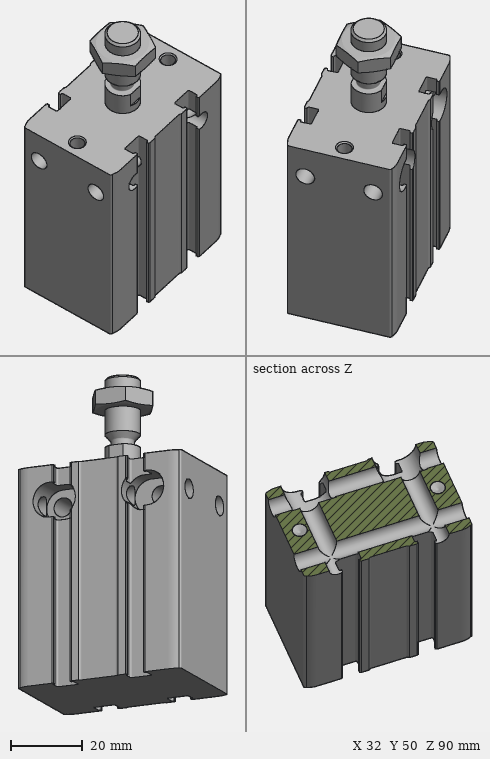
import cadquery as cq
import math

width = 32.0
depth = 50.0
housing_height = 63.0
total_height = 90.0
half_width = width / 2
half_depth = depth / 2
recess_depth = 0.4
recess_half_length = 5.2
recess_fillet_length = 0.5
recess_fillet_rise = 0.2
recess_ramp_length = 0.3
side_round_length = 3.4
side_round_drop = 0.6
corner_size = 0.6

slot_offset = 11.25
slot_opening = 5.0
slot_width = 6.5
slot_depth = 4.1
lip_thickness = 0.9
lip_bevel_width = 0.45
lip_bevel_depth = 0.2
slot_corner_fillet = 0.45

mount_hole_diameter = 5.5
mount_hole_drop = 10.0
x_hole_offset = 15.0
y_hole_offset = 10.0
mount_hole_z = housing_height - mount_hole_drop
pocket_diameter = 10.0
pocket_length = 13.0
pocket_depth = 9.0

top_hole_offset = 20.5
top_hole_diameter = 4.1
top_hole_mouth = 4.95
top_hole_depth = 10.0
drill_point_angle = 118.0

rod_diameter = 10.0
collar_height = 7.0
neck_diameter = 6.7
neck_height = 2.0
neck_fillet = 0.3
cone_height = 1.8
rod_tip_diameter = 8.6
flat_across = 9.0
flat_base = 2.5

nut_across_flats = 16.0
nut_thickness = 5.0
nut_top_gap = 4.1
nut_face_diameter = 14.8
nut_bevel_angle = 15.0
nut_sides = 6
half_side_angle = 180.0 / nut_sides


def make_block():
    """Plain extruded block, built as a quarter and mirrored in X and Y."""
    recess_x = half_width - recess_depth
    fillet_end = (recess_x + recess_fillet_rise, recess_half_length + recess_fillet_length)
    shoulder = (half_width - side_round_drop, half_depth - corner_size)
    round_start = (half_width, half_depth - side_round_length)
    corner_end = (shoulder[0] - corner_size, half_depth)
    arc_mid_drop = corner_size * (1 - math.sqrt(0.5))
    corner_mid = (shoulder[0] - arc_mid_drop, half_depth - arc_mid_drop)
    quarter = (
        cq.Workplane("XY")
        .lineTo(recess_x, 0)
        .lineTo(recess_x, recess_half_length)
        .tangentArcPoint(fillet_end, relative=False)
        .lineTo(half_width, fillet_end[1] + recess_ramp_length)
        .lineTo(*round_start)
        .tangentArcPoint(shoulder, relative=False)
        .threePointArc(corner_mid, corner_end)
        .lineTo(0, half_depth)
        .close()
        .extrude(housing_height)
    )
    half = quarter.union(quarter.mirror("YZ"))
    return half.union(half.mirror("XZ")).clean()


def make_slot(x_side, y_side):
    """Undercut slot with bevelled lips and rounded inner corners, open towards the given X side."""
    half_mouth = slot_opening / 2
    upper = [
        (half_width, half_mouth + lip_bevel_width),
        (half_width - lip_bevel_depth, half_mouth),
        (half_width - lip_thickness, half_mouth),
        (half_width - lip_thickness, slot_width / 2),
        (half_width - slot_depth, slot_width / 2),
    ]
    lower = [(x, -y) for x, y in reversed(upper)]
    section = [(x_side * x, y_side * slot_offset + y) for x, y in upper + lower]
    slot = cq.Workplane("XY").polyline(section).close().extrude(housing_height)
    return slot.faces(">Y or <Y").edges("|Z").fillet(slot_corner_fillet)


def make_x_hole(y_side):
    """Through hole along X with a rounded pocket on the -X side."""
    hole = (
        cq.Workplane("YZ", origin=(-half_width, y_side * x_hole_offset, mount_hole_z))
        .circle(mount_hole_diameter / 2)
        .extrude(width)
    )
    pocket_shift = (pocket_length - pocket_diameter) / 2
    pocket = (
        cq.Workplane("YZ", origin=(-half_width, y_side * (x_hole_offset - pocket_shift), mount_hole_z))
        .slot2D(pocket_length, pocket_diameter)
        .extrude(pocket_depth)
    )
    return hole.union(pocket)


def make_y_hole(x_side):
    """Through hole along Y."""
    return (
        cq.Workplane("XZ", origin=(x_side * y_hole_offset, half_depth, mount_hole_z))
        .circle(mount_hole_diameter / 2)
        .extrude(depth)
    )


def make_top_hole(y_side):
    """Blind drilled hole with a 45 degree mouth and a conical bottom."""
    radius = top_hole_diameter / 2
    mouth_radius = top_hole_mouth / 2
    point_length = radius / math.tan(math.radians(drill_point_angle / 2))
    return (
        cq.Workplane("XZ")
        .lineTo(mouth_radius, 0)
        .lineTo(radius, radius - mouth_radius)
        .lineTo(radius, -top_hole_depth)
        .lineTo(0, -top_hole_depth - point_length)
        .close()
        .revolve(360, (0, 0), (0, 1))
        .translate((0, y_side * top_hole_offset, housing_height))
    )


def make_housing():
    housing = make_block()
    for side in (-1, 1):
        housing = housing.cut(make_slot(-1, side)).cut(make_slot(1, side))
        housing = housing.cut(make_x_hole(side))
        housing = housing.cut(make_y_hole(side))
        housing = housing.cut(make_top_hole(side))
    return housing


def make_rod():
    """Stepped rod standing on the housing, with two wrench flats on its collar."""
    radius = rod_diameter / 2
    neck_radius = neck_diameter / 2
    tip_radius = rod_tip_diameter / 2
    collar_top = housing_height + collar_height
    neck_top = collar_top + neck_height
    rod = (
        cq.Workplane("XZ")
        .moveTo(0, housing_height)
        .lineTo(radius, housing_height)
        .lineTo(radius, collar_top)
        .lineTo(neck_radius, collar_top)
        .lineTo(neck_radius, neck_top)
        .lineTo(radius, neck_top + cone_height)
        .lineTo(radius, total_height - (radius - tip_radius))
        .lineTo(tip_radius, total_height)
        .lineTo(0, total_height)
        .close()
        .revolve(360, (0, 0), (0, 1))
    )
    neck_ends = cq.selectors.BoxSelector(
        (-radius, -radius, collar_top - neck_fillet),
        (radius, radius, neck_top + neck_fillet),
    )
    neck_circles = rod.edges(neck_ends).edges(cq.selectors.RadiusNthSelector(0))
    rod = neck_circles.fillet(neck_fillet)
    for side in (-1, 1):
        cutter = cq.Workplane("XY").box(
            rod_diameter, rod_diameter, collar_height - flat_base, centered=(True, True, False)
        )
        cutter_x = side * (flat_across + rod_diameter) / 2
        rod = rod.cut(cutter.translate((cutter_x, 0, housing_height + flat_base)))
    return rod


def make_nut():
    """Hexagon nut with flats facing X, bevelled corners and a bore that fits the rod."""
    corner_diameter = nut_across_flats / math.cos(math.radians(half_side_angle))
    corner_radius = corner_diameter / 2
    face_radius = nut_face_diameter / 2
    bevel_drop = (corner_radius - face_radius) * math.tan(math.radians(nut_bevel_angle))
    hexagon = (
        cq.Workplane("XY")
        .polygon(nut_sides, corner_diameter)
        .extrude(nut_thickness)
        .rotate((0, 0, 0), (0, 0, 1), half_side_angle)
    )
    bevel_envelope = (
        cq.Workplane("XZ")
        .lineTo(face_radius, 0)
        .lineTo(corner_radius, bevel_drop)
        .lineTo(corner_radius, nut_thickness - bevel_drop)
        .lineTo(face_radius, nut_thickness)
        .lineTo(0, nut_thickness)
        .close()
        .revolve(360, (0, 0), (0, 1))
    )
    bore = cq.Workplane("XY").circle(rod_diameter / 2).extrude(nut_thickness)
    nut = hexagon.intersect(bevel_envelope).cut(bore)
    return nut.translate((0, 0, total_height - nut_top_gap - nut_thickness))


housing = make_housing()
rod = make_rod()
nut = make_nut()

result = cq.Compound.makeCompound([housing.val(), rod.val(), nut.val()])